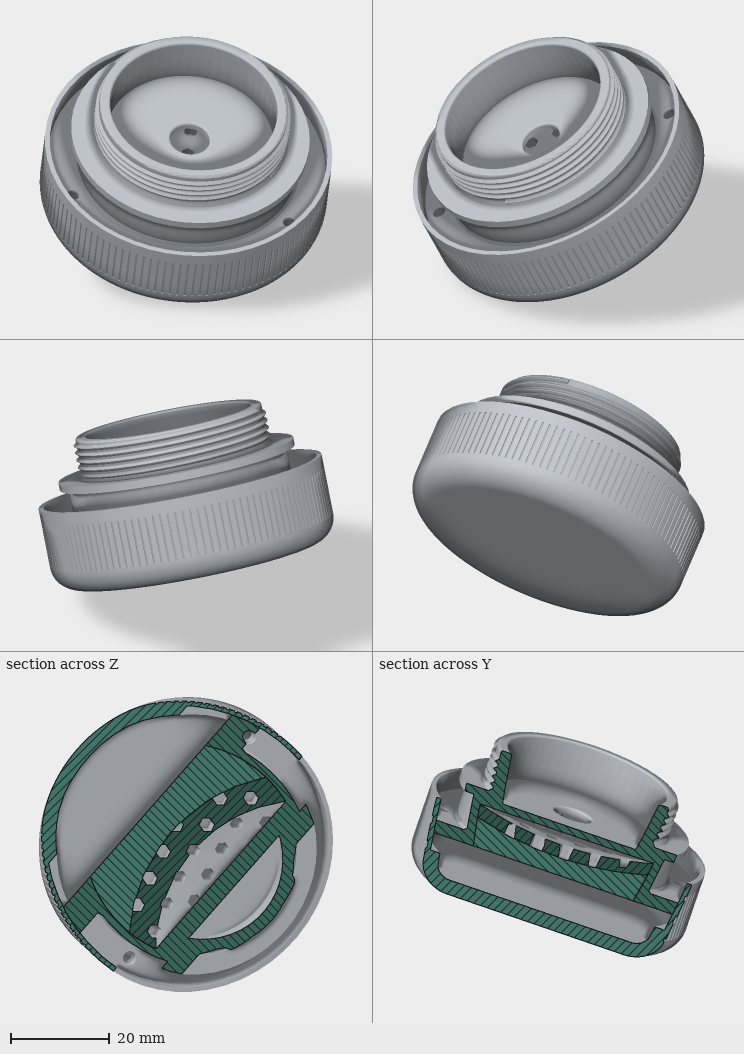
import cadquery as cq
import math


TURN_ABOUT_X = 16.8
TURN_ABOUT_Y = 18.2

SHELL_DIA = 58.4
SHELL_BORE_DIA = 56.45
SHELL_HEIGHT = 17.25
BOTTOM_FILLET = 5.0
CAVITY_DIA = 52.8
CAVITY_TOP = 7.15
SHELL_WALL = (SHELL_DIA - CAVITY_DIA) / 2
CAVITY_FILLET = BOTTOM_FILLET - SHELL_WALL

KNURL_COUNT = 120
KNURL_WIDTH = 0.4
KNURL_DEPTH = 0.25
KNURL_TOP = 14.7
KNURL_STEP = 360 / KNURL_COUNT
KNURL_PHASE = -0.35

PLATE_TOP = 13.0
PLATE_THICKNESS = 2.5
PLATE_BOTTOM = PLATE_TOP - PLATE_THICKNESS
DRUM_DIA = 45.0
DRUM_BORE_DIA = 41.8
DRUM_FOOT_CHAMFER = 0.5
FLANGE_DIA = 48.5
FLANGE_BOTTOM = 20.15
FLANGE_TOP = 21.75
NECK_DIA = 38.35
NECK_BORE_DIA = 34.0
NECK_TOP = 30.0
NECK_FOOT_CHAMFER = 0.8
NECK_RIM_FILLET = 0.5
NECK_FLOOR_TOP = 20.2
NECK_FLOOR_BOTTOM = 18.7

OUTLET_DIA = 8.0
OUTLET_FILLET = 0.5
VENT_DIA = 2.5
VENT_COUNT = 6
VENT_CIRCLE_DIA = 51.15
VENT_CHAMFER = 0.2

THREAD_DIA = 39.6
THREAD_PITCH = 1.5
THREAD_TURNS = 4.5
THREAD_END = 29.1
THREAD_END_ANGLE = 180.0
THREAD_ROOT_WIDTH = 1.25
THREAD_CREST_WIDTH = 0.1
THREAD_OVERLAP = 0.1

GRID_CENTRE_TOP = 15.6
GRID_THICKNESS = 2.6
HEX_ACROSS_FLATS = 2.5
HEX_TURN = 30.0
HEX_PITCH = 6.0
HEX_RINGS = 3
DISH_SAG = NECK_FLOOR_BOTTOM - GRID_CENTRE_TOP
DISH_RADIUS = ((DRUM_BORE_DIA / 2) ** 2 + DISH_SAG**2) / (2 * DISH_SAG)


def cylinder(diameter, bottom, top):
    return cq.Workplane("XY").workplane(offset=bottom).circle(diameter / 2).extrude(top - bottom)


def knurl_grooves():
    groove = cq.Workplane("XY").box(
        2 * KNURL_DEPTH, KNURL_WIDTH, KNURL_TOP - BOTTOM_FILLET, centered=(True, True, False)
    )
    cutters = []
    for index in range(KNURL_COUNT):
        placed = groove.translate((SHELL_DIA / 2, 0, BOTTOM_FILLET))
        placed = placed.rotate((0, 0, 0), (0, 0, 1), KNURL_PHASE + index * KNURL_STEP)
        cutters.append(placed.val())
    return cq.Workplane(cq.Compound.makeCompound(cutters))


def make_shell():
    shell = cylinder(SHELL_DIA, 0, SHELL_HEIGHT).faces("<Z").edges().fillet(BOTTOM_FILLET)
    cavity = cylinder(CAVITY_DIA, SHELL_WALL, CAVITY_TOP).faces("<Z").edges().fillet(CAVITY_FILLET)
    bore = cylinder(SHELL_BORE_DIA, CAVITY_TOP, SHELL_HEIGHT)
    return shell.cut(cavity).cut(bore).cut(knurl_grooves())


def neck_thread():
    """A right-hand trapezoidal ridge that ends abruptly just below the neck's rim."""
    length = THREAD_TURNS * THREAD_PITCH
    root_radius = NECK_DIA / 2 - THREAD_OVERLAP
    crest_radius = THREAD_DIA / 2
    helix = cq.Wire.makeHelix(THREAD_PITCH, length, root_radius)
    ridge = (
        cq.Workplane("XZ")
        .moveTo(root_radius, -THREAD_ROOT_WIDTH / 2)
        .lineTo(crest_radius, -THREAD_CREST_WIDTH / 2)
        .lineTo(crest_radius, THREAD_CREST_WIDTH / 2)
        .lineTo(root_radius, THREAD_ROOT_WIDTH / 2)
        .close()
        .sweep(cq.Workplane(helix), isFrenet=True)
    )
    start_angle = THREAD_END_ANGLE - 360 * THREAD_TURNS
    return ridge.rotate((0, 0, 0), (0, 0, 1), start_angle).translate((0, 0, THREAD_END - length))


def chamfered_hole(diameter, chamfer, bottom, top):
    """A cutter for a through hole that widens at its top edge."""
    radius = diameter / 2
    return (
        cq.Workplane("XZ")
        .moveTo(0, bottom)
        .lineTo(radius, bottom)
        .lineTo(radius, top - chamfer)
        .lineTo(radius + chamfer, top)
        .lineTo(0, top)
        .close()
        .revolve(360, (0, 0, 0), (0, 1, 0))
    )


def rounded_outlet():
    """A cutter for the central hole, which flares out through a rounded top edge."""
    radius = OUTLET_DIA / 2
    return (
        cq.Workplane("XZ")
        .moveTo(0, NECK_FLOOR_BOTTOM)
        .lineTo(radius, NECK_FLOOR_BOTTOM)
        .lineTo(radius, NECK_FLOOR_TOP - OUTLET_FILLET)
        .radiusArc((radius + OUTLET_FILLET, NECK_FLOOR_TOP), OUTLET_FILLET)
        .lineTo(0, NECK_FLOOR_TOP)
        .close()
        .revolve(360, (0, 0, 0), (0, 1, 0))
    )


def make_cover():
    plate = cylinder(SHELL_BORE_DIA, PLATE_BOTTOM, PLATE_TOP)
    foot = cylinder(DRUM_DIA + 2 * DRUM_FOOT_CHAMFER, PLATE_BOTTOM, PLATE_TOP + DRUM_FOOT_CHAMFER)
    foot = foot.faces(">Z").edges().chamfer(DRUM_FOOT_CHAMFER)
    drum = cylinder(DRUM_DIA, PLATE_BOTTOM, FLANGE_BOTTOM)
    flange = cylinder(FLANGE_DIA, FLANGE_BOTTOM, FLANGE_TOP)
    neck_foot = cylinder(NECK_DIA + 2 * NECK_FOOT_CHAMFER, FLANGE_BOTTOM, FLANGE_TOP + NECK_FOOT_CHAMFER)
    neck_foot = neck_foot.faces(">Z").edges().chamfer(NECK_FOOT_CHAMFER)
    neck_bore = cylinder(NECK_BORE_DIA, NECK_FLOOR_TOP, NECK_TOP)
    neck = cylinder(NECK_DIA, FLANGE_TOP, NECK_TOP).cut(neck_bore)
    neck = neck.faces(">Z").edges().fillet(NECK_RIM_FILLET)

    cover = plate.union(foot).union(drum).union(flange).union(neck_foot).union(neck)
    cover = cover.cut(cylinder(NECK_BORE_DIA, NECK_FLOOR_TOP, FLANGE_TOP + NECK_FOOT_CHAMFER))
    cover = cover.cut(cylinder(DRUM_BORE_DIA, PLATE_BOTTOM, NECK_FLOOR_BOTTOM))
    cover = cover.cut(rounded_outlet())
    vent = chamfered_hole(VENT_DIA, VENT_CHAMFER, PLATE_BOTTOM, PLATE_TOP)
    for index in range(VENT_COUNT):
        angle = 2 * math.pi * index / VENT_COUNT
        radius = VENT_CIRCLE_DIA / 2
        cover = cover.cut(vent.translate((radius * math.cos(angle), radius * math.sin(angle), 0)))
    return cover.union(neck_thread())


def dished_surface_ball(centre_height):
    """The ball whose underside is a dish with its lowest point at centre_height."""
    return cq.Workplane("XY").sphere(DISH_RADIUS).translate((0, 0, centre_height + DISH_RADIUS))


def hex_positions():
    """Points of a triangular lattice that fill a hexagon of HEX_RINGS rings."""
    points = []
    for column in range(-HEX_RINGS, HEX_RINGS + 1):
        for row in range(-HEX_RINGS, HEX_RINGS + 1):
            if abs(column + row) <= HEX_RINGS:
                x = HEX_PITCH * (column + row / 2)
                y = HEX_PITCH * row * math.sqrt(3) / 2
                points.append((x, y))
    return points


def make_grid():
    grid = cylinder(DRUM_BORE_DIA, PLATE_BOTTOM, NECK_FLOOR_BOTTOM)
    grid = grid.cut(dished_surface_ball(GRID_CENTRE_TOP))
    grid = grid.intersect(dished_surface_ball(GRID_CENTRE_TOP - GRID_THICKNESS))
    hexagon = (
        cq.Workplane("XY")
        .polygon(6, HEX_ACROSS_FLATS, circumscribed=True)
        .extrude(NECK_FLOOR_BOTTOM - PLATE_BOTTOM)
        .rotate((0, 0, 0), (0, 0, 1), HEX_TURN)
    )
    for x, y in hex_positions():
        grid = grid.cut(hexagon.translate((x, y, PLATE_BOTTOM)))
    return grid


def make_bed():
    bed = cylinder(DRUM_BORE_DIA, PLATE_BOTTOM, NECK_FLOOR_BOTTOM)
    return bed.cut(dished_surface_ball(GRID_CENTRE_TOP - GRID_THICKNESS))


def tilt(body):
    body = body.rotate((0, 0, 0), (0, 1, 0), TURN_ABOUT_Y)
    return body.rotate((0, 0, 0), (1, 0, 0), TURN_ABOUT_X)


shell = tilt(make_shell())
cover = tilt(make_cover())
grid = tilt(make_grid())
bed = tilt(make_bed())

result = cq.Compound.makeCompound([shell.val(), cover.val(), grid.val(), bed.val()])